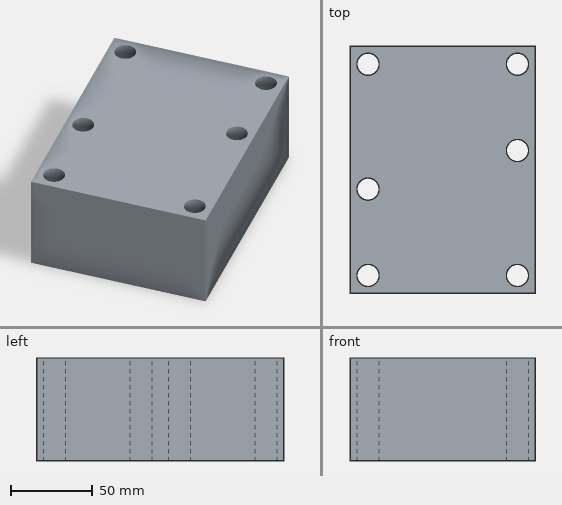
import cadquery as cq

length_x = 114.3
length_y = 152.4
height_z = 63.5

bolt_diameter = 13.49
bolt_pitch_x = 92.1
bolt_pitch_y = 130.2
middle_bolt_pitch_y = 23.8


def make_block():
    """Plain rectangular block centred on the origin."""
    return cq.Workplane("XY").box(length_x, length_y, height_z)


def bolt_positions():
    """Four corner holes plus one staggered middle hole on each long side."""
    positions = []
    for side in (-1, 1):
        x = side * bolt_pitch_x / 2
        for y in (-bolt_pitch_y / 2, side * middle_bolt_pitch_y / 2, bolt_pitch_y / 2):
            positions.append((x, y))
    return positions


def drill_bolt_holes(body):
    """Drill every bolt hole straight through the height of the block."""
    return body.faces(">Z").workplane().pushPoints(bolt_positions()).hole(bolt_diameter)


result = drill_bolt_holes(make_block())